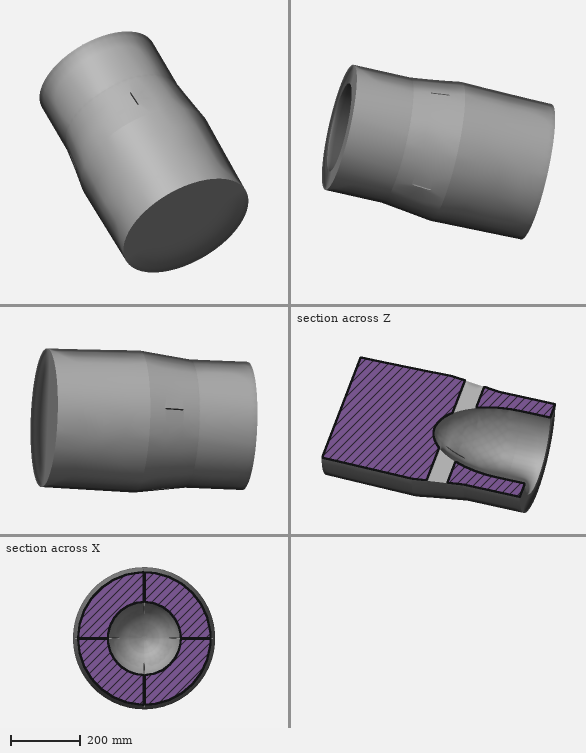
import cadquery as cq

BORE_LENGTH = 87.0
NECK_LENGTH = 169.7
SHOULDER_X = 318.7
TOTAL_LENGTH = 589.7

NECK_DIAMETER = 370.0
SHOULDER_DIAMETER = 410.0
BASE_DIAMETER = 400.0

BORE_DIAMETER = 260.4
DOME_DEPTH = 222.0

SLOT_COUNT = 4
SLOT_START_X = 216.5
SLOT_LENGTH = 59.0
SLOT_WIDTH = 4.0
SLOT_TIP_LENGTH = 5.5


def make_body():
    """Neck, widening taper and slightly narrowing rear, turned about X."""
    outline = (
        cq.Workplane("XY")
        .moveTo(0, 0)
        .lineTo(0, NECK_DIAMETER / 2)
        .lineTo(NECK_LENGTH, NECK_DIAMETER / 2)
        .lineTo(SHOULDER_X, SHOULDER_DIAMETER / 2)
        .lineTo(TOTAL_LENGTH, BASE_DIAMETER / 2)
        .lineTo(TOTAL_LENGTH, 0)
        .close()
    )
    return outline.revolve(360, (0, 0, 0), (1, 0, 0))


def make_cavity():
    """Straight bore closed by a half-ellipsoid, turned about X."""
    bore_radius = BORE_DIAMETER / 2
    outline = (
        cq.Workplane("XY")
        .moveTo(BORE_LENGTH + DOME_DEPTH, 0)
        .ellipseArc(DOME_DEPTH, bore_radius, 0, 90, startAtCurrent=True)
        .lineTo(0, bore_radius)
        .lineTo(0, 0)
        .close()
    )
    return outline.revolve(360, (0, 0, 0), (1, 0, 0))


def make_slot(angle):
    """Thin blade with pointed ends, from the axis past the outside wall, turned about X."""
    half_length = SLOT_LENGTH / 2
    half_width = SLOT_WIDTH / 2
    side_end = half_length - SLOT_TIP_LENGTH
    outline = [
        (half_length, 0),
        (side_end, half_width),
        (-side_end, half_width),
        (-half_length, 0),
        (-side_end, -half_width),
        (side_end, -half_width),
    ]
    blade = (
        cq.Workplane("XY")
        .center(SLOT_START_X + half_length, 0)
        .polyline(outline)
        .close()
        .extrude(SHOULDER_DIAMETER / 2)
    )
    return blade.rotate((0, 0, 0), (1, 0, 0), angle)


result = make_body().cut(make_cavity())
for index in range(SLOT_COUNT):
    result = result.cut(make_slot(index * 360 / SLOT_COUNT))